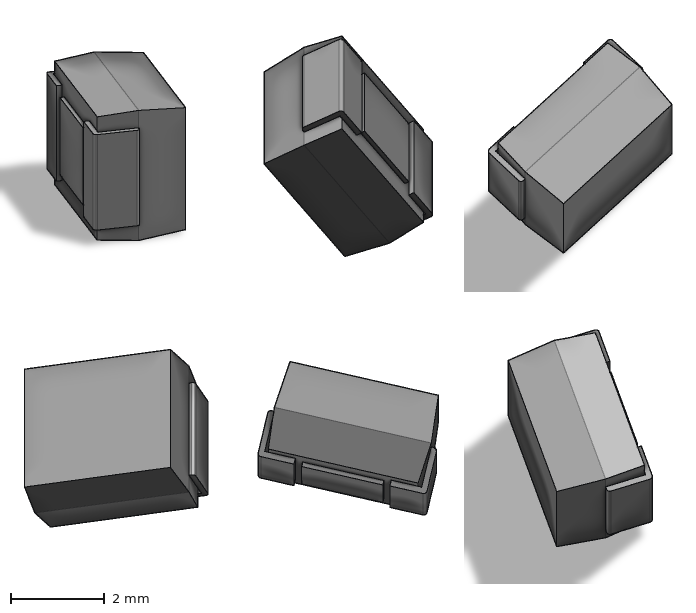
import cadquery as cq

overall_length = 3.7
overall_depth = 2.1
body_height = 3.0

lead_thickness = 0.13
lead_width = 2.2
foot_length = 0.8
lead_corner_radius = 0.075

parting_y = 1.03
draft_angle = 5.0
body_length = overall_length - 2 * lead_thickness
body_front_y = lead_thickness

pad_side = 1.78
pad_thickness = 0.1


def drafted_half(direction, depth):
    """Half of the body, tapering away from the parting plane along +Y (1) or -Y (-1)."""
    plane = cq.Plane(origin=(0, parting_y, 0), xDir=(1, 0, 0), normal=(0, direction, 0))
    return cq.Workplane(plane).rect(body_length, body_height).extrude(depth, taper=draft_angle)


def make_body():
    """Moulded body as one solid, drafted both ways from the parting plane."""
    back_half = drafted_half(1, overall_depth - parting_y)
    front_half = drafted_half(-1, parting_y - body_front_y)
    return back_half.union(front_half)


def make_lead(side):
    """L-shaped lead: a wall beside the body and a foot under it, on the +X (1) or -X (-1) end."""
    outer_x = side * overall_length / 2
    inner_x = side * body_length / 2
    foot_tip_x = outer_x - side * foot_length
    profile = [
        (outer_x, 0),
        (outer_x, parting_y),
        (inner_x, parting_y),
        (inner_x, lead_thickness),
        (foot_tip_x, lead_thickness),
        (foot_tip_x, 0),
    ]
    lead = (
        cq.Workplane("XY")
        .workplane(offset=-lead_width / 2)
        .polyline(profile)
        .close()
        .extrude(lead_width)
    )
    outer_face = ">X" if side > 0 else "<X"
    return lead.faces(outer_face).edges("|Z").fillet(lead_corner_radius)


def make_pad():
    """Square thermal pad standing on the mounting face of the body."""
    pad_centre_y = body_front_y - pad_thickness / 2
    return cq.Workplane("XY").box(pad_side, pad_thickness, pad_side).translate((0, pad_centre_y, 0))


body = make_body()
leads = [make_lead(side) for side in (-1, 1)]
pad = make_pad()

result = cq.Compound.makeCompound([body.val(), *[lead.val() for lead in leads], pad.val()])